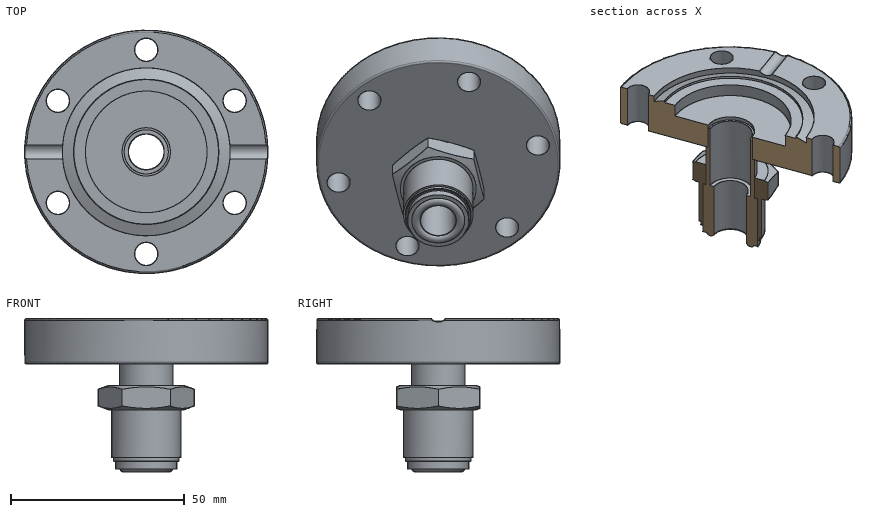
import cadquery as cq
import math


flange_diameter = 70.0
flange_thickness = 13.0
rim_fillet = 0.5
gasket_recess_diameter = 48.3
knife_diameter = 41.8
knife_angle = 20.0
knife_tip_depth = 0.65
knife_inner_wall_draft = 0.1
inner_land_depth = 1.25
pocket_diameter = 35.0
pocket_depth = 5.0
gland_hole_diameter = 13.9
knife_height = (gasket_recess_diameter - knife_diameter) / 2 * math.tan(math.radians(knife_angle))
gasket_recess_depth = knife_tip_depth + knife_height

bolt_count = 6
bolt_hole_diameter = 6.6
bolt_circle_diameter = 58.7
first_bolt_angle = 30.0

leak_groove_radius = 2.5
leak_groove_depth = 1.0

nut_top = -19.2
hex_height = 7.0
hex_across_flats = 24.0
hex_across_corners = hex_across_flats / math.cos(math.radians(30))
hex_chamfer_start_diameter = 21.8
hex_chamfer_height = 1.1
shank_diameter = 20.0
shank_length = 13.7
shank_end_diameter = 18.9
shank_end_length = 1.2
shank_end_chamfer = 0.2
nut_bottom = nut_top - hex_height - shank_length - shank_end_length

fitting_bottom = -44.1
neck_diameter = 15.5
tube_bore_diameter = 12.7
outlet_bore_diameter = 10.2
spigot_recess = 1.1
spigot_top = -pocket_depth - spigot_recess
head_diameter = 17.6
head_top = nut_top - hex_height
bead_outer_diameter = 15.2
bead_height = 0.8
bead_half_width = 1.2
head_bottom = fitting_bottom + bead_height


def revolve_about_z(profile):
    """Closes a profile of (radius, Z) points and turns it about the Z axis."""
    return profile.close().revolve(360, (0, 0, 0), (0, 1, 0))


def cylinder(diameter, bottom, top):
    return cq.Workplane("XY").workplane(offset=bottom).circle(diameter / 2).extrude(top - bottom)


def make_flange():
    disc = cylinder(flange_diameter, -flange_thickness, 0).edges().fillet(rim_fillet)

    gasket_recess = revolve_about_z(
        cq.Workplane("XZ")
        .lineTo(gasket_recess_diameter / 2, 0)
        .lineTo(gasket_recess_diameter / 2, -gasket_recess_depth)
        .lineTo(knife_diameter / 2, -knife_tip_depth)
        .lineTo(knife_diameter / 2 - knife_inner_wall_draft, -inner_land_depth)
        .lineTo(0, -inner_land_depth)
    )
    pocket = cylinder(pocket_diameter, -pocket_depth, 0)
    gland_hole = cylinder(gland_hole_diameter, -flange_thickness, 0)
    bolt_holes = (
        cq.Workplane("XY")
        .polarArray(bolt_circle_diameter / 2, first_bolt_angle, 360, bolt_count)
        .circle(bolt_hole_diameter / 2)
        .extrude(-flange_thickness)
    )

    leak_groove = (
        cq.Workplane("YZ")
        .center(0, leak_groove_radius - leak_groove_depth)
        .circle(leak_groove_radius)
        .extrude(flange_diameter / 2, both=True)
        .cut(cylinder(gasket_recess_diameter, -flange_thickness, flange_thickness))
    )
    return disc.cut(gasket_recess).cut(pocket).cut(gland_hole).cut(bolt_holes).cut(leak_groove)


def make_gland():
    bead_centre_radius = bead_outer_diameter / 2 - bead_half_width
    body = revolve_about_z(
        cq.Workplane("XZ")
        .moveTo(0, spigot_top)
        .lineTo(gland_hole_diameter / 2, spigot_top)
        .lineTo(gland_hole_diameter / 2, -flange_thickness)
        .lineTo(neck_diameter / 2, -flange_thickness)
        .lineTo(neck_diameter / 2, head_top)
        .lineTo(head_diameter / 2, head_top)
        .lineTo(head_diameter / 2, head_bottom)
        .lineTo(bead_outer_diameter / 2, head_bottom)
        .threePointArc(
            (bead_centre_radius, fitting_bottom),
            (bead_centre_radius - bead_half_width, head_bottom),
        )
        .lineTo(0, head_bottom)
    )
    tube_bore = cylinder(tube_bore_diameter, head_top, spigot_top)
    outlet_bore = cylinder(outlet_bore_diameter, fitting_bottom, head_top)
    return body.cut(tube_bore).cut(outlet_bore)


def make_nut():
    hex_bottom = nut_top - hex_height
    shank_bottom = hex_bottom - shank_length
    hexagon = (
        cq.Workplane("XY")
        .workplane(offset=hex_bottom)
        .polygon(6, hex_across_corners)
        .extrude(hex_height)
    )

    corner_envelope = revolve_about_z(
        cq.Workplane("XZ")
        .moveTo(0, nut_top)
        .lineTo(hex_chamfer_start_diameter / 2, nut_top)
        .lineTo(hex_across_corners / 2, nut_top - hex_chamfer_height)
        .lineTo(hex_across_corners / 2, hex_bottom + hex_chamfer_height)
        .lineTo(hex_chamfer_start_diameter / 2, hex_bottom)
        .lineTo(0, hex_bottom)
    )
    shank = cylinder(shank_diameter, shank_bottom, hex_bottom)
    shank_end = (
        cylinder(shank_end_diameter, nut_bottom, shank_bottom)
        .faces("<Z")
        .edges()
        .chamfer(shank_end_chamfer)
    )
    neck_hole = cylinder(neck_diameter, head_top, nut_top)
    head_hole = cylinder(head_diameter, nut_bottom, head_top)
    return hexagon.intersect(corner_envelope).union(shank).union(shank_end).cut(neck_hole).cut(head_hole)


flange = make_flange()
gland = make_gland()
nut = make_nut()

result = cq.Compound.makeCompound([flange.val(), gland.val(), nut.val()])